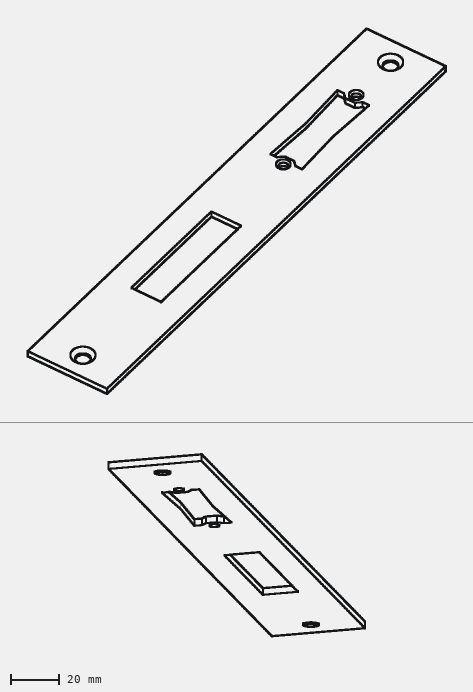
import cadquery as cq

width = 40.0
length = 242.0
thickness = 3.0

mount_spacing = 219.7
mount_diameter = 6.5
mount_sink_diameter = 10.5
countersink_angle = 90.0

plain_window_width = 15.0
plain_window_length = 57.0
plain_window_y = -36.0

waisted_window_width = 16.0
waisted_window_length = 48.0
waisted_window_y = 59.3
waist_width = 13.8

tab_base_width = 9.5
tab_tip_width = 4.8
tab_height = 2.2

small_hole_spacing = 52.0
small_hole_diameter = 4.0
small_sink_diameter = 6.0


def plain_window():
    """Cutter for the rectangular window."""
    return (
        cq.Workplane("XY")
        .center(0, plain_window_y)
        .rect(plain_window_width, plain_window_length)
        .extrude(thickness)
    )


def waisted_window():
    """Cutter for the waisted window, leaving the tab material at both ends."""
    half_length = waisted_window_length / 2
    tab_tip_y = half_length - tab_height
    quarter = [
        (waist_width / 2, 0),
        (waisted_window_width / 2, half_length),
        (tab_base_width / 2, half_length),
        (tab_tip_width / 2, tab_tip_y),
    ]
    upper = quarter + [(-x, y) for x, y in reversed(quarter)]
    upper_half = cq.Workplane("XY").polyline(upper).close().extrude(thickness)
    return upper_half.union(upper_half.mirror("XZ")).translate((0, waisted_window_y, 0))


def add_countersunk_pair(body, center_y, spacing, hole_diameter, sink_diameter):
    """Drill two countersunk through holes on the centre line, spaced evenly about center_y."""
    return (
        body.faces(">Z")
        .workplane(origin=(0, center_y, thickness))
        .pushPoints([(0, side * spacing / 2) for side in (-1, 1)])
        .cskHole(hole_diameter, sink_diameter, countersink_angle)
    )


plate = cq.Workplane("XY").box(width, length, thickness, centered=(True, True, False))
plate = plate.cut(plain_window()).cut(waisted_window())
plate = add_countersunk_pair(plate, 0, mount_spacing, mount_diameter, mount_sink_diameter)
plate = add_countersunk_pair(
    plate, waisted_window_y, small_hole_spacing, small_hole_diameter, small_sink_diameter
)

result = plate